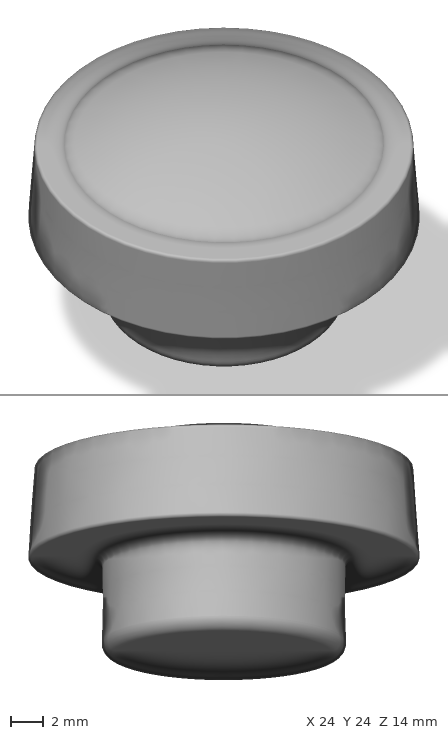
import cadquery as cq
import math

total_height = 14.0
cap_diameter = 24.0
stem_diameter = 15.0
dome_diameter = 19.6

cap_bottom_z = 6.0
cap_top_z = 11.87

cap_draft_angle = 4.0
cap_edge_radius = 0.2
stem_root_radius = 0.5
stem_end_radius = 0.75
stem_draft_angle = 0.5


def make_stem():
    """Stem that narrows slightly upwards to the cap, with a rounded lower end."""
    stem = cq.Workplane("XY").circle(stem_diameter / 2).extrude(cap_bottom_z, taper=stem_draft_angle)
    return stem.faces("<Z").edges().fillet(stem_end_radius)


def make_cap():
    """Cap that narrows upwards, with both rims rounded and widest at cap_diameter."""
    draft = math.radians(cap_draft_angle)
    rim_trim = cap_edge_radius * (math.tan(draft) + 1 / math.cos(draft) - 1)
    bottom_radius = cap_diameter / 2 + rim_trim
    cap = (
        cq.Workplane("XY", origin=(0, 0, cap_bottom_z))
        .circle(bottom_radius)
        .extrude(cap_top_z - cap_bottom_z, taper=cap_draft_angle)
    )
    return cap.faces("<Z or >Z").edges().fillet(cap_edge_radius)


def make_dome():
    """Shallow spherical dome on top of the cap."""
    dome_radius = dome_diameter / 2
    dome_height = total_height - cap_top_z
    sphere_radius = (dome_radius**2 + dome_height**2) / (2 * dome_height)
    sphere_center_z = total_height - sphere_radius
    half_angle = math.asin(dome_radius / sphere_radius) / 2
    arc_middle = (
        sphere_radius * math.sin(half_angle),
        sphere_center_z + sphere_radius * math.cos(half_angle),
    )
    return (
        cq.Workplane("XZ")
        .moveTo(0, cap_top_z)
        .lineTo(dome_radius, cap_top_z)
        .threePointArc(arc_middle, (0, total_height))
        .close()
        .revolve(axisStart=(0, 0, 0), axisEnd=(0, 1, 0))
    )


def round_stem_root(body):
    """Fill the corner where the stem meets the underside of the cap."""
    margin = 0.02
    underside_center = cq.selectors.BoxSelector(
        (-margin, -margin, cap_bottom_z - margin),
        (margin, margin, cap_bottom_z + margin),
    )
    inner_circle = cq.selectors.RadiusNthSelector(0)
    return body.edges(underside_center).edges(inner_circle).fillet(stem_root_radius)


result = round_stem_root(make_stem().union(make_cap()).union(make_dome()))